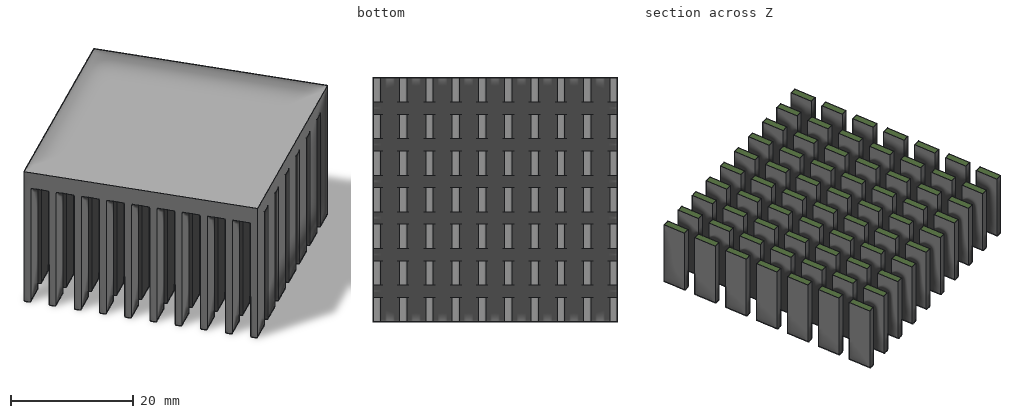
import cadquery as cq

length_x = 40.0
width_y = 40.0
height = 25.0

base_thickness = 3.0
fin_height = height - base_thickness

fin_count_x = 10
fin_thickness = 1.2
fin_pitch_x = (length_x - fin_thickness) / (fin_count_x - 1)
channel_width = fin_pitch_x - fin_thickness
root_radius = 0.3
tip_radius = 0.3

fin_count_y = 7
slot_width = 2.0
fin_width = (width_y - (fin_count_y - 1) * slot_width) / fin_count_y
fin_pitch_y = fin_width + slot_width


def make_block():
    """Full envelope, centred in X and Y, with the fin tips at Z = 0."""
    return cq.Workplane("XY").box(length_x, width_y, height, centered=(True, True, False))


def cut_channels(body):
    """Cut the channels along Y that leave the thin walls, rounded at their roots."""
    channel = (
        cq.Workplane("XY")
        .box(channel_width, width_y, fin_height, centered=(True, True, False))
        .edges("|Y and >Z")
        .fillet(root_radius)
    )
    for index in range(fin_count_x - 1):
        x_centre = (index - (fin_count_x - 2) / 2) * fin_pitch_x
        body = body.cut(channel.translate((x_centre, 0, 0)))
    return body


def round_tips(body):
    """Round the two long lower edges of every wall."""
    return body.faces("<Z").edges("|Y").fillet(tip_radius)


def cut_cross_slots(body):
    """Cut the slots along X that split each wall into separate fins."""
    slot = cq.Workplane("XY").box(length_x, slot_width, fin_height, centered=(True, True, False))
    for index in range(fin_count_y - 1):
        y_centre = (index - (fin_count_y - 2) / 2) * fin_pitch_y
        body = body.cut(slot.translate((0, y_centre, 0)))
    return body


result = cut_cross_slots(round_tips(cut_channels(make_block())))